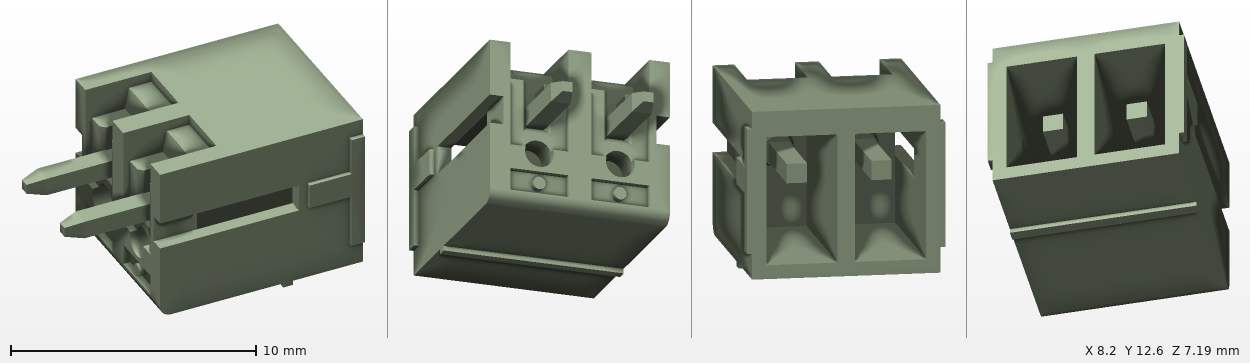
import cadquery as cq


overall_width = 8.2
overall_depth = 12.6
flange_thickness = 0.2
body_width = overall_width - 2 * flange_thickness
body_half = body_width / 2
body_depth = 9.21
body_height = 6.99
front_edge_radius = 0.5
join_overlap = 0.13
pole_pitch = 3.5
pole_positions = (-pole_pitch / 2, pole_pitch / 2)

rib_height = 0.2
rib_depth = 0.44
rib_front = 5.6

flange_depth = 0.6
flange_bottom = 1.07
flange_top = 6.26
arm_length = 2.51
arm_bottom = 3.49
arm_top = 4.6

slot_depth = 0.59
slot_bottom = 3.38
slot_top = arm_top
slot_end = 6.31

cavity_outer = body_half - slot_depth
cavity_divider = 0.73
cavity_front = 1.98
cavity_floor = 0.58
cavity_ceiling = 5.92

pocket_width = 2.51
pocket_floor = 2.55
recess_depth = 0.3
ledge_height = 5.53
ledge_end = 1.8
step_height = 6.51
step_front = cavity_front
pocket_end = 3.0

groove_width = 0.77
groove_bottom = 3.54
groove_end = 1.61
groove_chamfer = 0.2
throat_top = 4.7

hole_diameter = 1.25
hole_height = 2.34
hole_depth = 1.51
lower_recess_bottom = 0.57
lower_recess_top = 1.51
stud_diameter = 0.54
stud_height = 1.02

pin_width = 0.85
pin_thickness = 0.81
pin_bottom = 3.6
pin_centre = pin_bottom + pin_thickness / 2
pin_front = body_depth - overall_depth
pin_back = 7.56
tip_length = 0.81
tip_size = 0.43

collar_radius = 0.82
collar_straight_end = 2.27
collar_chamfer_end = 2.43
taper_start_radius = 0.75
taper_end_radius = 0.65
collar_end = 3.26



def block(x_min, x_max, y_min, y_max, z_min, z_max):
    """Box given by its limits along each axis."""
    size = (x_max - x_min, y_max - y_min, z_max - z_min)
    return cq.Workplane("XY").box(*size, centered=False).translate((x_min, y_min, z_min))


def centred_block(width, y_min, y_max, z_min, z_max):
    """Box given by its limits along Y and Z, centred on X = 0."""
    return block(-width / 2, width / 2, y_min, y_max, z_min, z_max)


def side_extrusion(points, width):
    """(Y, Z) outline extruded along X, centred on X = 0."""
    return cq.Workplane("YZ").polyline(points).close().extrude(width / 2, both=True)


def round_bar(radius, y_min, y_max, height):
    """Cylinder along Y, centred on X = 0."""
    return cq.Workplane("XZ", origin=(0, y_min, height)).circle(radius).extrude(y_min - y_max)


def housing():
    shell = centred_block(body_width, 0, body_depth, 0, body_height)
    shell = shell.edges("|X and <Y and <Z").fillet(front_edge_radius)
    rib = centred_block(body_width, rib_front, rib_front + rib_depth, -rib_height, join_overlap)
    return shell.union(rib)


def side_flange():
    """Flange on the -X side, reaching into the cavity wall."""
    x_min = -overall_width / 2
    x_max = -body_half + join_overlap
    plate = block(x_min, x_max, body_depth - flange_depth, body_depth, flange_bottom, flange_top)
    arm = block(x_min, x_max, body_depth - arm_length, body_depth, arm_bottom, arm_top)
    return plate.union(arm)


def side_slot():
    """Slot on the -X side, as deep as the cavity wall."""
    return block(-body_half, -cavity_outer, 0, slot_end, slot_bottom, slot_top)


def contact_cavity():
    """Cavity on the -X side of the central divider."""
    return block(
        -cavity_outer, -cavity_divider / 2, cavity_front, body_depth, cavity_floor, cavity_ceiling
    )


def stepped_pocket():
    outline = [
        (0, pocket_floor),
        (recess_depth, pocket_floor),
        (recess_depth, ledge_height),
        (ledge_end, ledge_height),
        (step_front, step_height),
        (pocket_end, step_height),
        (pocket_end, body_height),
        (0, body_height),
    ]
    return side_extrusion(outline, pocket_width)


def groove():
    """Groove with a chamfered mouth and a throat that slopes inwards above the pin."""
    pin_top = pin_bottom + pin_thickness
    throat_end = groove_end + throat_top - pin_top
    outline = [
        (0, groove_bottom),
        (throat_end, groove_bottom),
        (throat_end, pin_top),
        (groove_end, throat_top),
        (groove_end, ledge_height),
        (0, ledge_height),
    ]
    slot = side_extrusion(outline, groove_width)

    mouth_height = ledge_height + groove_chamfer - groove_bottom
    mouth_middle = groove_bottom + mouth_height / 2
    mouth = (
        cq.Workplane("XZ", origin=(0, recess_depth, mouth_middle))
        .rect(groove_width + 2 * groove_chamfer, mouth_height + 2 * groove_chamfer)
        .workplane(offset=-groove_chamfer)
        .rect(groove_width, mouth_height)
        .loft(combine=True)
    )
    return slot.union(mouth.intersect(centred_block(pocket_width, 0, body_depth, 0, ledge_height)))


def lower_recess():
    recess = centred_block(pocket_width, 0, recess_depth, lower_recess_bottom, lower_recess_top)
    stud = round_bar(stud_diameter / 2, 0, recess_depth, stud_height)
    return recess.cut(stud)


def pole_cuts():
    """Front cuts in the housing for one pole."""
    hole = round_bar(hole_diameter / 2, 0, hole_depth, hole_height)
    return [stepped_pocket(), groove(), hole, lower_recess()]


def collar():
    """Collar turned about the pin axis, standing on the front wall of the cavity."""
    outline = [
        (0, cavity_front),
        (collar_radius, cavity_front),
        (collar_radius, collar_straight_end),
        (taper_start_radius, collar_chamfer_end),
        (taper_end_radius, collar_end),
        (0, collar_end),
    ]
    turned = cq.Workplane("XY").polyline(outline).close().revolve(360, (0, 0), (0, 1))
    return turned.translate((0, 0, pin_centre))


def pin():
    """Rectangular pin with a tapered tip and its collar."""
    tip_end = pin_front + tip_length
    shank = centred_block(pin_width, tip_end, pin_back, pin_bottom, pin_bottom + pin_thickness)
    tip = (
        cq.Workplane("XZ", origin=(0, pin_front, pin_centre))
        .rect(tip_size, tip_size)
        .workplane(offset=-tip_length)
        .rect(pin_width, pin_thickness)
        .loft(combine=True)
    )
    return shank.union(tip).union(collar())


result = housing()
for cut in (contact_cavity(), side_slot()):
    result = result.cut(cut).cut(cut.mirror("YZ"))
for cut in pole_cuts():
    for x in pole_positions:
        result = result.cut(cut.translate((x, 0, 0)))

for x in pole_positions:
    result = result.union(pin().translate((x, 0, 0)))
left_flange = side_flange()
result = result.union(left_flange).union(left_flange.mirror("YZ"))